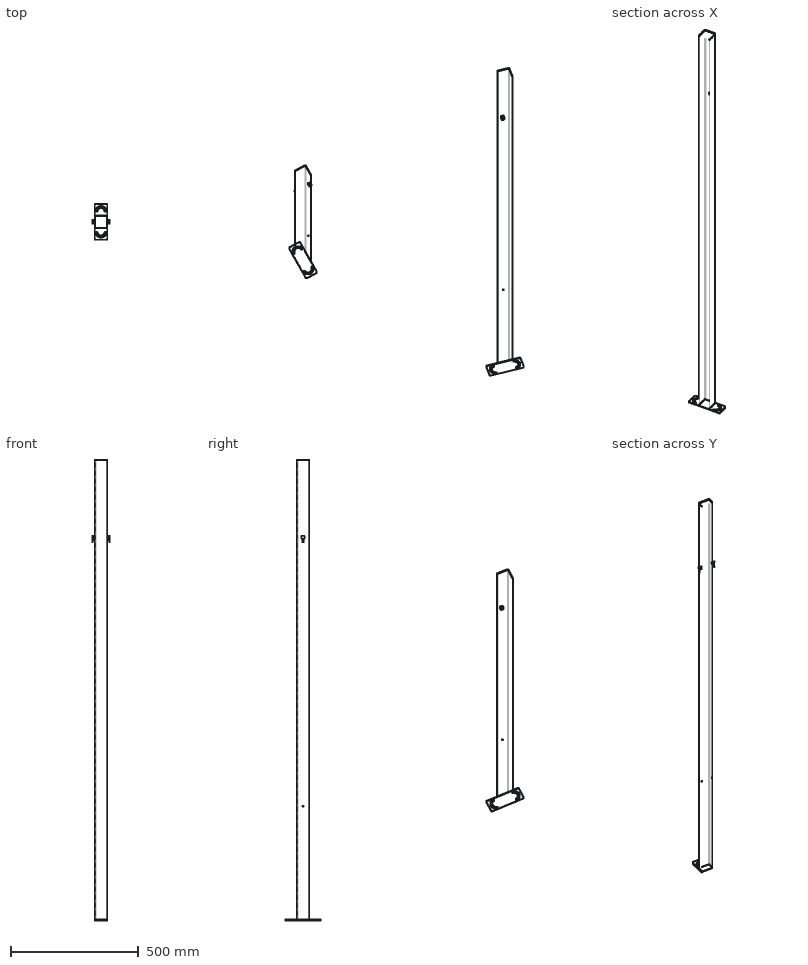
import cadquery as cq
import math

TOTAL_HEIGHT = 1803.0
POST_WIDTH = 50.0
WALL = 2.5
OUTER_CORNER = 3.0
INNER_CORNER = 1.0
CAP_THICKNESS = 3.0

PLATE_LENGTH = 140.0
PLATE_THICKNESS = 6.0
PLATE_CORNER = 4.0

SLOT_RADIUS = 18.0
SLOT_WIDTH = 7.0
SLOT_CENTRE_Y = 40.0
SLOT_HALF_ANGLE = 80.0

CROSS_HOLE_DIAMETER = 4.1
CROSS_HOLE_Z = 448.0

HOOK_Z = 1499.2
HOOK_DIAMETER = 14.0
MOUNT_LENGTH = 5.0
HOOK_THICKNESS = 5.0
TONGUE_TIP_THICKNESS = 2.2
TONGUE_DROP = 20.0
TONGUE_WIDTH = 4.5

POST_BASE_Z = PLATE_THICKNESS
POST_HEIGHT = TOTAL_HEIGHT - CAP_THICKNESS - POST_BASE_Z
HALF_POST = POST_WIDTH / 2
BORE_WIDTH = POST_WIDTH - 2 * WALL
SIDES = (-1, 1)


def square_bar(width, height, base_z, corner):
    """Upright square bar with rounded vertical corners."""
    bar = cq.Workplane("XY").workplane(offset=base_z).rect(width, width).extrude(height)
    return bar.edges("|Z").fillet(corner)


def make_post():
    """Square tube with a small cross hole through both X walls."""
    tube = square_bar(POST_WIDTH, POST_HEIGHT, POST_BASE_Z, OUTER_CORNER)
    bore = square_bar(BORE_WIDTH, POST_HEIGHT, POST_BASE_Z, INNER_CORNER)
    cross_hole = (
        cq.Workplane("YZ")
        .center(0, CROSS_HOLE_Z)
        .circle(CROSS_HOLE_DIAMETER / 2)
        .extrude(HALF_POST, both=True)
    )
    return tube.cut(bore).cut(cross_hole)


def make_cap():
    """Flat cap that closes the top of the tube."""
    return square_bar(POST_WIDTH, CAP_THICKNESS, TOTAL_HEIGHT - CAP_THICKNESS, OUTER_CORNER)


def make_anchor_slot(side):
    """Cutter for a curved slot with round ends that bulges away from the post."""
    outer_radius = SLOT_RADIUS + SLOT_WIDTH / 2
    inner_radius = SLOT_RADIUS - SLOT_WIDTH / 2
    end_angle = math.radians(SLOT_HALF_ANGLE)
    tip_angle = end_angle + SLOT_WIDTH / 2 / SLOT_RADIUS

    def arc_point(radius, angle):
        return radius * math.sin(angle), side * (SLOT_CENTRE_Y + radius * math.cos(angle))

    return (
        cq.Workplane("XY")
        .moveTo(*arc_point(outer_radius, -end_angle))
        .threePointArc(arc_point(outer_radius, 0), arc_point(outer_radius, end_angle))
        .threePointArc(arc_point(SLOT_RADIUS, tip_angle), arc_point(inner_radius, end_angle))
        .threePointArc(arc_point(inner_radius, 0), arc_point(inner_radius, -end_angle))
        .threePointArc(arc_point(SLOT_RADIUS, -tip_angle), arc_point(outer_radius, -end_angle))
        .close()
        .extrude(PLATE_THICKNESS)
    )


def make_base_plate():
    """Rectangular foot with rounded corners and an anchor slot at each end."""
    plate = cq.Workplane("XY").rect(POST_WIDTH, PLATE_LENGTH).extrude(PLATE_THICKNESS)
    plate = plate.edges("|Z").fillet(PLATE_CORNER)
    for side in SIDES:
        plate = plate.cut(make_anchor_slot(side))
    return plate


def side_disc(side, start_x, length):
    """Round disc on the hook axis, growing outward from the given distance along X."""
    return (
        cq.Workplane("YZ", origin=(side * start_x, 0, HOOK_Z))
        .circle(HOOK_DIAMETER / 2)
        .extrude(side * length)
    )


def make_mount(side):
    """Round mount that stands on the side of the post."""
    return side_disc(side, HALF_POST, MOUNT_LENGTH)


def make_hook(side):
    """Round head with a narrow tongue that thins toward its tip on the post side."""
    inner_x = HALF_POST + MOUNT_LENGTH
    outer_x = inner_x + HOOK_THICKNESS
    tongue = (
        cq.Workplane("XZ")
        .polyline([
            (side * inner_x, HOOK_Z),
            (side * outer_x, HOOK_Z),
            (side * outer_x, HOOK_Z - TONGUE_DROP),
            (side * (outer_x - TONGUE_TIP_THICKNESS), HOOK_Z - TONGUE_DROP),
            (side * inner_x, HOOK_Z - HOOK_DIAMETER / 2),
        ])
        .close()
        .extrude(TONGUE_WIDTH / 2, both=True)
    )
    return side_disc(side, inner_x, HOOK_THICKNESS).union(tongue)


post = make_post()
cap = make_cap()
base_plate = make_base_plate()
mounts = [make_mount(side) for side in SIDES]
hooks = [make_hook(side) for side in SIDES]

result = cq.Compound.makeCompound([
    post.val(),
    cap.val(),
    base_plate.val(),
    *[mount.val() for mount in mounts],
    *[hook.val() for hook in hooks],
])